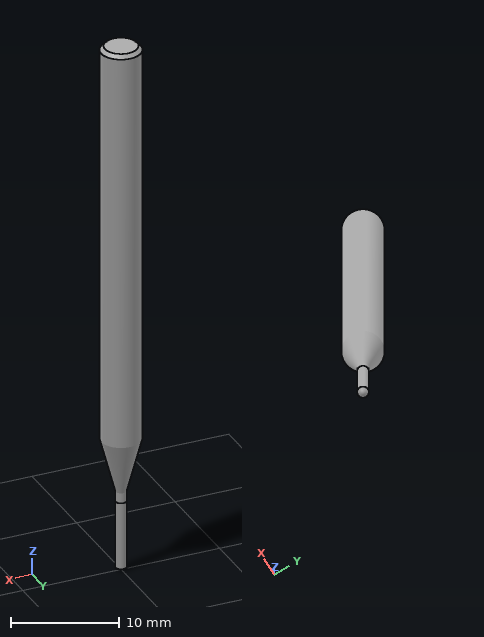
import cadquery as cq
import math

total_length = 55.0
shank_diameter = 4.0
shank_chamfer = 0.4

shank_bottom = 13.8
neck_top = 8.25
cutter_top = 7.2

cutter_diameter = 1.1
point_angle = 130.0

shank_radius = shank_diameter / 2
cutter_radius = cutter_diameter / 2
point_height = cutter_radius / math.tan(math.radians(point_angle / 2))


def make_shank():
    """Cylindrical shank with a chamfered top, a conical taper and a short neck."""
    profile = (
        cq.Workplane("XZ")
        .moveTo(0, cutter_top)
        .lineTo(cutter_radius, cutter_top)
        .lineTo(cutter_radius, neck_top)
        .lineTo(shank_radius, shank_bottom)
        .lineTo(shank_radius, total_length - shank_chamfer)
        .lineTo(shank_radius - shank_chamfer, total_length)
        .lineTo(0, total_length)
        .close()
    )
    return profile.revolve(360, (0, 0, 0), (0, 1, 0))


def make_cutter():
    """Slender rod butted against the neck, ending in a shallow conical point."""
    profile = (
        cq.Workplane("XZ")
        .moveTo(0, 0)
        .lineTo(cutter_radius, point_height)
        .lineTo(cutter_radius, cutter_top)
        .lineTo(0, cutter_top)
        .close()
    )
    return profile.revolve(360, (0, 0, 0), (0, 1, 0))


shank = make_shank()
cutter = make_cutter()

result = cq.Compound.makeCompound([shank.val(), cutter.val()])